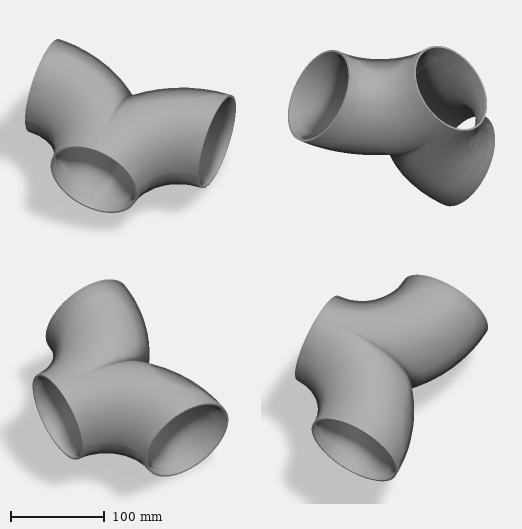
import cadquery as cq

bend_radius = 100.0
inlet_outer_radius = 50.0
outlet_outer_radius = 52.0
wall = 2.0

clip_size = 3 * (bend_radius + outlet_outer_radius)


def solid_elbow(inlet_radius, outlet_radius):
    """Solid elbow from the inlet at the origin (facing -Y) to the outlet facing +X."""
    centreline = cq.Workplane("XY").radiusArc((bend_radius, bend_radius), bend_radius)
    sections = (
        cq.Workplane("XZ")
        .circle(inlet_radius)
        .copyWorkplane(cq.Workplane("YZ", origin=(bend_radius, bend_radius, 0)))
        .circle(outlet_radius)
    )
    return sections.sweep(centreline, multisection=True)


def branch():
    """Hollow elbow, cut off at the YZ symmetry plane where the two branches meet."""
    outside = solid_elbow(inlet_outer_radius, outlet_outer_radius)
    bore = solid_elbow(inlet_outer_radius - wall, outlet_outer_radius - wall)
    positive_x_side = cq.Workplane("XY").box(
        clip_size, clip_size, clip_size, centered=(False, True, True)
    )
    return outside.cut(bore).intersect(positive_x_side)


right_branch = branch()
left_branch = right_branch.mirror("YZ")
result = right_branch.union(left_branch)